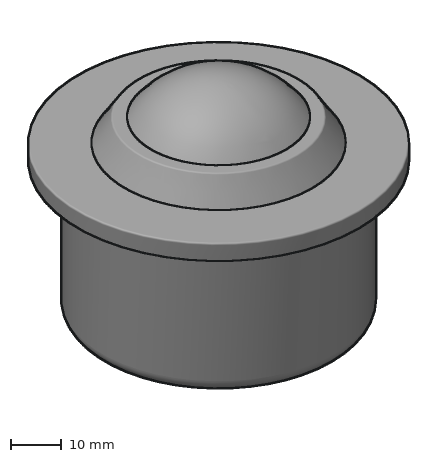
import cadquery as cq


body_radius = 31.0
body_bottom_fillet = 3.0

flange_radius = 37.5
flange_thickness = 4.0
flange_bottom = 35.0
flange_top = flange_bottom + flange_thickness
flange_edge_fillet = 0.4

cover_base_radius = 25.0
cover_top_radius = 21.0
cover_height = 6.0
cover_top = flange_top + cover_height
cover_edge_fillet = 0.5

ball_radius = 22.5
ball_top = 54.0
ball_center = ball_top - ball_radius


def make_body():
    """Cylindrical housing with a rounded bottom edge."""
    body = cq.Workplane("XY").circle(body_radius).extrude(flange_bottom)
    return body.faces("<Z").edges().fillet(body_bottom_fillet)


def make_flange():
    """Mounting flange with a slightly rounded upper rim."""
    flange = cq.Workplane("XY").workplane(offset=flange_bottom)
    flange = flange.circle(flange_radius).extrude(flange_thickness)
    return flange.faces(">Z").edges().fillet(flange_edge_fillet)


def make_cover():
    """Truncated cone that holds the ball, with a rounded top rim."""
    cover_profile = [
        (0, flange_top),
        (cover_base_radius, flange_top),
        (cover_top_radius, cover_top),
        (0, cover_top),
    ]
    cover = cq.Workplane("XZ").polyline(cover_profile).close()
    cover = cover.revolve(360, (0, 0), (0, 1))
    return cover.faces(">Z").edges().fillet(cover_edge_fillet)


def make_ball():
    """Load ball; only the cap above the cover stays exposed."""
    return cq.Workplane("XY").sphere(ball_radius).translate((0, 0, ball_center))


result = make_body().union(make_flange()).union(make_cover()).union(make_ball())